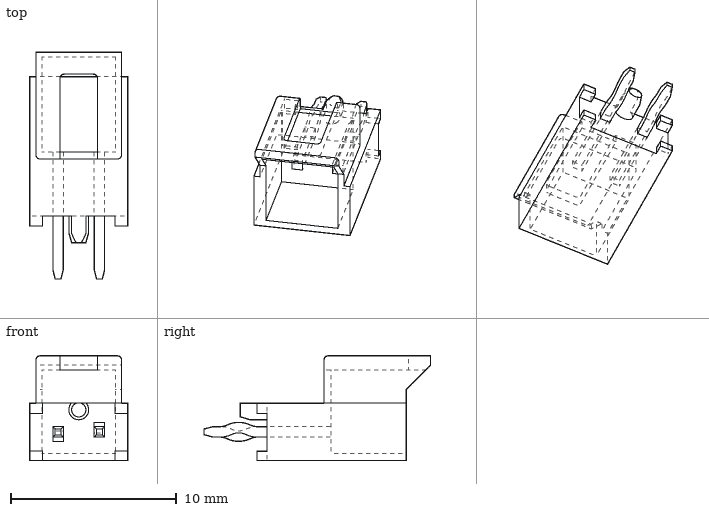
import cadquery as cq
import math


base_width = 5.94
base_length = 8.43
base_height = 3.48

foot_width = 0.79
foot_length = 0.61
lower_foot_height = 0.57
upper_foot_height = 0.63

peg_radius = 0.6
peg_tip_radius = 0.43
peg_axis_z = 3.07
peg_straight_length = 1.03
peg_length = 1.62

total_height = 6.34
hood_width = 5.18
hood_front = 3.45
hood_rear = 9.9
hood_lip_height = 0.57
overhang_angle = 45
hood_edge_radius = 0.25
hood_front_wall = 0.43
hood_roof = 0.85

socket_side_wall = 0.375
socket_floor = 0.43
socket_front = hood_front + hood_front_wall

slot_width = 2.28
slot_rear = 8.57
slot_corner_radius = 0.25

pin_pitch = 2.5
pin_size = 0.64
pin_axis_z = base_height / 2
pin_length = 3.81
pin_embedment = socket_front
kink_start = 0.56
kink_end = 2.84
kink_height = 0.26
pin_tip_size = 0.35
pin_tip_length = 0.55


def make_base():
    block = cq.Workplane("XY").box(
        base_width, base_length, base_height, centered=(True, False, False)
    )
    foot_x = (base_width - foot_width) / 2
    for side in (-1, 1):
        for foot_bottom, foot_height in (
            (0, lower_foot_height),
            (base_height - upper_foot_height, upper_foot_height),
        ):
            foot = (
                cq.Workplane("XY")
                .box(foot_width, 2 * foot_length, foot_height, centered=(True, True, False))
                .translate((side * foot_x, 0, foot_bottom))
            )
            block = block.union(foot)
    return block


def make_peg():
    peg = (
        cq.Workplane("XY")
        .moveTo(0, 0)
        .lineTo(peg_radius, 0)
        .lineTo(peg_radius, -peg_straight_length)
        .lineTo(peg_tip_radius, -peg_length)
        .lineTo(0, -peg_length)
        .close()
        .revolve(360, (0, 0, 0), (0, 1, 0))
        .translate((0, 0, peg_axis_z))
    )
    above_base = (
        cq.Workplane("XY")
        .box(2 * peg_radius, 2 * peg_length, peg_radius, centered=(True, True, False))
        .translate((0, 0, base_height))
    )
    return peg.cut(above_base)


def make_hood():
    lip_bottom = total_height - hood_lip_height
    overhang = hood_rear - base_length
    slope_bottom = lip_bottom - overhang * math.tan(math.radians(overhang_angle))
    hood = (
        cq.Workplane("YZ")
        .moveTo(hood_front, base_height)
        .lineTo(hood_front, total_height)
        .lineTo(hood_rear, total_height)
        .lineTo(hood_rear, lip_bottom)
        .lineTo(base_length, slope_bottom)
        .lineTo(base_length, base_height)
        .close()
        .extrude(hood_width / 2, both=True)
    )
    front_and_sides = hood.faces(">Z").edges("<Y or <X or >X")
    front_corners = hood.faces("<Y").edges("|Z")
    return front_and_sides.add(front_corners).fillet(hood_edge_radius)


def make_socket():
    ceiling_z = total_height - hood_roof
    return (
        cq.Workplane("XY")
        .box(
            hood_width - 2 * socket_side_wall,
            hood_rear - socket_front,
            ceiling_z - socket_floor,
            centered=(True, False, False),
        )
        .translate((0, socket_front, socket_floor))
    )


def make_roof_slot():
    return (
        cq.Workplane("XY")
        .box(slot_width, slot_rear - hood_front, hood_roof, centered=(True, False, False))
        .edges("|Z and >Y")
        .fillet(slot_corner_radius)
        .translate((0, hood_front, total_height - hood_roof))
    )


def make_pin(x, kink_side):
    """Square pin at x; kink_side is +1 for a kink upwards, -1 for one downwards."""
    crest_z = kink_side * kink_height
    reversal_z = crest_z / 2
    kink_middle = (kink_start + kink_end) / 2
    first_reversal = (kink_start + kink_middle) / 2
    last_reversal = (kink_middle + kink_end) / 2
    tip_start = pin_length - pin_tip_length

    centre_line = (
        cq.Workplane("YZ")
        .moveTo(pin_embedment, 0)
        .lineTo(-kink_start, 0)
        .tangentArcPoint((-first_reversal, reversal_z), relative=False)
        .threePointArc((-kink_middle, crest_z), (-last_reversal, reversal_z))
        .tangentArcPoint((-kink_end, 0), relative=False)
        .lineTo(-tip_start, 0)
    )
    shank = (
        cq.Workplane("XZ", origin=(0, pin_embedment, 0))
        .rect(pin_size, pin_size)
        .sweep(centre_line)
    )
    tip = (
        cq.Workplane("XZ", origin=(0, -tip_start, 0))
        .rect(pin_size, pin_size)
        .workplane(offset=pin_tip_length)
        .rect(pin_tip_size, pin_tip_size)
        .loft(ruled=True)
    )
    return shank.union(tip).translate((x, 0, pin_axis_z))


pins = []
for side in (-1, 1):
    pins.append(make_pin(side * pin_pitch / 2, side))

housing = make_base().union(make_peg()).union(make_hood())
housing = housing.cut(make_socket()).cut(make_roof_slot())
for pin in pins:
    housing = housing.cut(pin)

result = cq.Compound.makeCompound([housing.val(), *[pin.val() for pin in pins]])